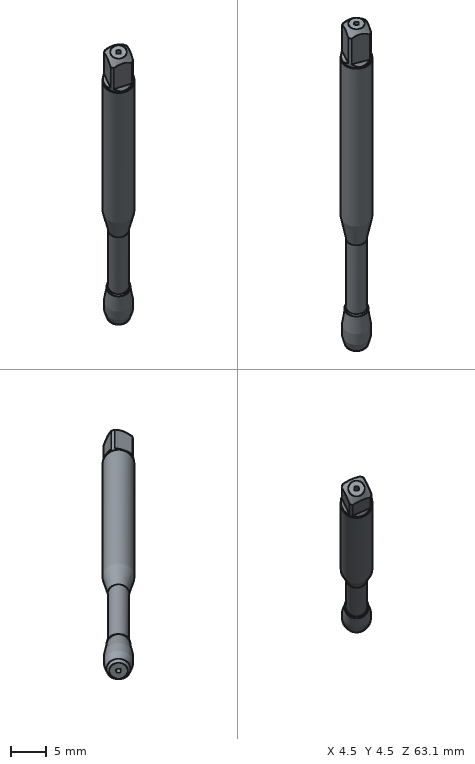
import cadquery as cq
import math

overall_length = 63.1
tip_bevel_top = 0.45
lead_top = 2.0
land_top = 4.1
back_taper_top = 7.2
lip_bevel_top = 7.5
head_length = 21.0
shoulder_bottom = 21.2
shoulder_top = 25.4

coolant_bore_diameter = 0.7
tip_diameter = 2.6
lead_start_diameter = 3.37
land_diameter = 4.1
back_taper_diameter = 3.28
lip_diameter = 3.4
neck_diameter = 3.0
shank_diameter = 4.5

drive_length = 6.0
drive_across_flats = 3.4
drive_corner_diameter = 4.32
drive_end_diameter = 2.3
drive_collar_height = 0.62
flat_runout_angle = 45
drive_flat_count = 4

drive_bottom = overall_length - drive_length
collar_bottom = drive_bottom - drive_collar_height
collar_bevel = (shank_diameter - drive_corner_diameter) / 2
drive_end_bevel = (drive_corner_diameter - drive_end_diameter) / 2


def turned(stations):
    """Solid of revolution about Z through (diameter, height) stations, bored through on its axis."""
    bore_radius = coolant_bore_diameter / 2
    bottom = stations[0][1]
    top = stations[-1][1]
    outer = [(diameter / 2, height) for diameter, height in stations]
    outline = [(bore_radius, bottom)] + outer + [(bore_radius, top)]
    return cq.Workplane("XZ").polyline(outline).close().revolve(360, (0, 0, 0), (0, 1, 0))


def make_head():
    """Working head: bevelled tip, tapered lead, round land, back taper with a small lip, and slim neck."""
    return turned([
        (tip_diameter, 0),
        (lead_start_diameter, tip_bevel_top),
        (land_diameter, lead_top),
        (land_diameter, land_top),
        (back_taper_diameter, back_taper_top),
        (lip_diameter, back_taper_top),
        (neck_diameter, lip_bevel_top),
        (neck_diameter, head_length),
    ])


def flat_cutter():
    """Waste outside the +X drive flat, with a floor that slopes down towards the outside."""
    flat_x = drive_across_flats / 2
    outer_x = shank_diameter
    runout_drop = (outer_x - flat_x) * math.tan(math.radians(flat_runout_angle))
    outline = [
        (flat_x, drive_bottom),
        (outer_x, drive_bottom - runout_drop),
        (outer_x, overall_length),
        (flat_x, overall_length),
    ]
    return cq.Workplane("XZ").polyline(outline).close().extrude(shank_diameter, both=True)


def make_shank():
    """Round shank with a conical shoulder at the neck and a bevelled square drive at the end."""
    shank = turned([
        (neck_diameter, head_length),
        (neck_diameter, shoulder_bottom),
        (shank_diameter, shoulder_top),
        (shank_diameter, collar_bottom - collar_bevel),
        (drive_corner_diameter, collar_bottom),
        (drive_corner_diameter, overall_length - drive_end_bevel),
        (drive_end_diameter, overall_length),
    ])
    cutter = flat_cutter()
    for index in range(drive_flat_count):
        angle = index * 360 / drive_flat_count
        shank = shank.cut(cutter.rotate((0, 0, 0), (0, 0, 1), angle))
    return shank


head = make_head()
shank = make_shank()

result = cq.Compound.makeCompound([head.val(), shank.val()])